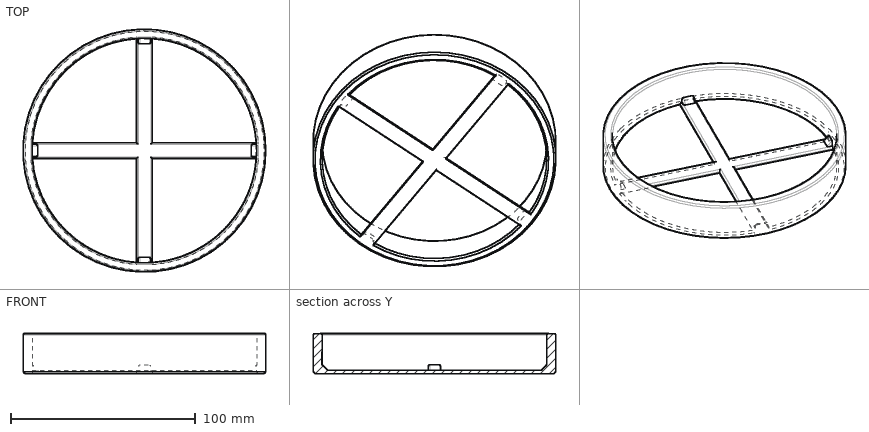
import cadquery as cq

outer_diameter = 131.5
inner_diameter = 121.5
ring_height = 22.0
edge_radius = 0.9
bottom_chamfer = 1.0

spoke_width = 8.7
spoke_height = 2.0
spoke_edge_radius = 0.9

gusset_width = spoke_width - 2 * spoke_edge_radius
gusset_reach = 3.0
gusset_rise = 3.0
gusset_edge_radius = 0.9

inner_radius = inner_diameter / 2
wall = (outer_diameter - inner_diameter) / 2
spoke_end_radius = inner_radius + wall / 2


def make_ring():
    """Plain ring with rounded top edges and beveled bottom edges."""
    ring = cq.Workplane("XY").circle(outer_diameter / 2).circle(inner_radius).extrude(ring_height)
    ring = ring.faces(">Z").edges().fillet(edge_radius)
    return ring.faces("<Z").edges().chamfer(bottom_chamfer)


def make_cross():
    """Two crossing bars with rounded upper long edges, ending inside the ring wall."""
    length = 2 * spoke_end_radius
    bar = cq.Workplane("XY").box(length, spoke_width, spoke_height, centered=(True, True, False))
    bar = bar.edges("|X and >Z").fillet(spoke_edge_radius)
    crossing_bar = bar.rotate((0, 0, 0), (0, 0, 1), 90)
    return bar.union(crossing_bar)


def make_gusset():
    """Sloped block on the +X spoke, buried in the spoke below and in the wall outside."""
    toe = inner_radius - gusset_reach
    slope = gusset_rise / gusset_reach
    top = spoke_height + slope * (spoke_end_radius - toe)
    base = spoke_height / 2
    toe_buried = toe - (spoke_height - base) / slope
    gusset = (
        cq.Workplane("XZ")
        .moveTo(toe_buried, base)
        .lineTo(spoke_end_radius, base)
        .lineTo(spoke_end_radius, top)
        .close()
        .extrude(gusset_width / 2, both=True)
    )
    sloped_face = gusset.faces("not(|Y or |X or |Z)")
    sloped_edges = sloped_face.edges("not |Y")
    return sloped_edges.fillet(gusset_edge_radius)


result = make_ring().union(make_cross())
gusset = make_gusset()
for quarter_turn in range(4):
    result = result.union(gusset.rotate((0, 0, 0), (0, 0, 1), 90 * quarter_turn))